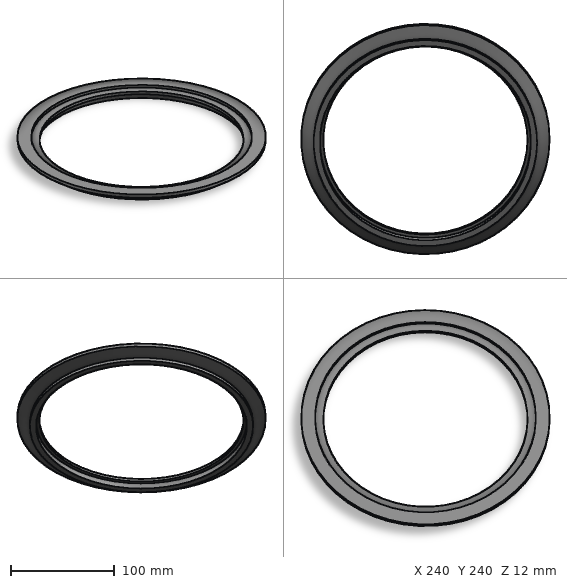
import cadquery as cq

outer_diameter = 240.0
height = 12.0

rim_thickness = 3.5
collar_diameter = 215.8
collar_height = 3.5

lip_diameter = 197.0
upper_recess_diameter = 213.1
upper_recess_depth = 3.0
lower_recess_diameter = 203.8
lower_recess_depth = 6.0

outer_radius = outer_diameter / 2
collar_radius = collar_diameter / 2
lip_radius = lip_diameter / 2
upper_recess_radius = upper_recess_diameter / 2
lower_recess_radius = lower_recess_diameter / 2
lip_top = height - upper_recess_depth
lip_bottom = lower_recess_depth

section = (
    cq.Workplane("XZ")
    .moveTo(lower_recess_radius, 0)
    .lineTo(collar_radius, 0)
    .lineTo(collar_radius, collar_height)
    .lineTo(outer_radius, height - rim_thickness)
    .lineTo(outer_radius, height)
    .lineTo(upper_recess_radius, height)
    .lineTo(upper_recess_radius, lip_top)
    .lineTo(lip_radius, lip_top)
    .lineTo(lip_radius, lip_bottom)
    .lineTo(lower_recess_radius, lip_bottom)
    .close()
)

result = section.revolve(360, (0, 0, 0), (0, 1, 0))